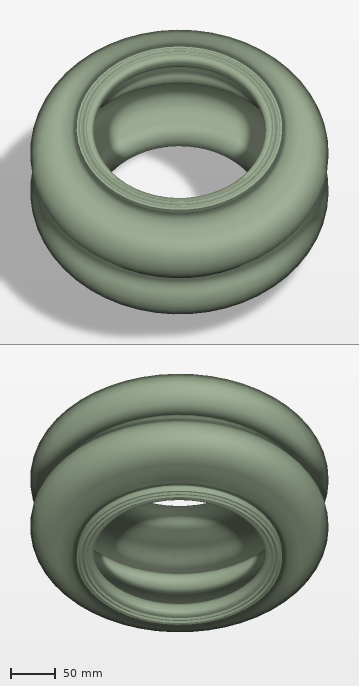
import cadquery as cq
import math


outer_diameter = 334.0
bore_diameter = 192.0
bead_diameter = 230.0
total_height = 165.0
wall = 4.5
lobe_radius = 27.0
girdle_radius = 7.7
neck_radius = 12.0
bead_underside_z = 69.65
bead_round = 5.7
bore_round = 4.85
ridge_height = 1.7
ridge_top_width = 1.0
ridge_base_width = 4.7
inner_ridge_radius = 105.7
ridge_spacing = 5.0
ridge_count = 2

top_z = total_height / 2
face_z = top_z - ridge_height
bore_r = bore_diameter / 2
bead_r = bead_diameter / 2
rim_r = outer_diameter / 2 - lobe_radius
lobe_z = girdle_radius + lobe_radius
shoulder_z = lobe_z + lobe_radius
cavity_radius = lobe_radius - wall
waist_radius = girdle_radius + wall
neck_inner_radius = neck_radius + wall
neck_r = bore_r + neck_inner_radius
neck_z = shoulder_z + neck_radius


def arc_point(center_r, center_z, radius, degrees):
    """Point on a circle of the (radius, height) section plane."""
    angle = math.radians(degrees)
    return (center_r + radius * math.cos(angle), center_z + radius * math.sin(angle))


def bellows_half():
    """Upper half of the bellows wall: waist, convolution, neck and bead."""
    underside_angle = 180 + math.degrees(math.asin((neck_z - bead_underside_z) / neck_radius))
    neck_mid_angle = (270 + underside_angle) / 2
    profile = (
        cq.Workplane("XZ")
        .moveTo(rim_r - girdle_radius, 0)
        .threePointArc(arc_point(rim_r, 0, girdle_radius, 135), (rim_r, girdle_radius))
        .threePointArc((rim_r + lobe_radius, lobe_z), (rim_r, shoulder_z))
        .lineTo(neck_r, shoulder_z)
        .threePointArc(
            arc_point(neck_r, neck_z, neck_radius, neck_mid_angle),
            arc_point(neck_r, neck_z, neck_radius, underside_angle),
        )
        .lineTo(bead_r - bead_round, bead_underside_z)
        .threePointArc(
            arc_point(bead_r - bead_round, bead_underside_z + bead_round, bead_round, -45),
            (bead_r, bead_underside_z + bead_round),
        )
        .lineTo(bead_r, face_z)
    )
    for index in reversed(range(ridge_count)):
        ridge_r = inner_ridge_radius + index * ridge_spacing
        profile = (
            profile
            .lineTo(ridge_r + ridge_base_width / 2, face_z)
            .lineTo(ridge_r + ridge_top_width / 2, top_z)
            .lineTo(ridge_r - ridge_top_width / 2, top_z)
            .lineTo(ridge_r - ridge_base_width / 2, face_z)
        )
    profile = (
        profile
        .lineTo(bore_r + bore_round, face_z)
        .threePointArc(
            arc_point(bore_r + bore_round, face_z - bore_round, bore_round, 135),
            (bore_r, face_z - bore_round),
        )
        .lineTo(bore_r, neck_z)
        .threePointArc(
            arc_point(neck_r, neck_z, neck_inner_radius, 225),
            (neck_r, shoulder_z - wall),
        )
        .lineTo(rim_r, shoulder_z - wall)
        .threePointArc((rim_r + cavity_radius, lobe_z), (rim_r, waist_radius))
        .threePointArc(arc_point(rim_r, 0, waist_radius, 135), (rim_r - waist_radius, 0))
    )
    return profile.close().revolve(360, (0, 0, 0), (0, 1, 0), clean=False)


def make_bellows():
    """Upper half joined to its mirror image as one solid."""
    upper = bellows_half()
    return upper.union(upper.mirror("XY"), clean=False).solids()


def make_girdle_ring():
    """Round-section ring seated in the waist groove between the convolutions."""
    return cq.Workplane(obj=cq.Solid.makeTorus(rim_r, girdle_radius))


bellows = make_bellows()
girdle_ring = make_girdle_ring()

result = cq.Compound.makeCompound([bellows.val(), girdle_ring.val()])